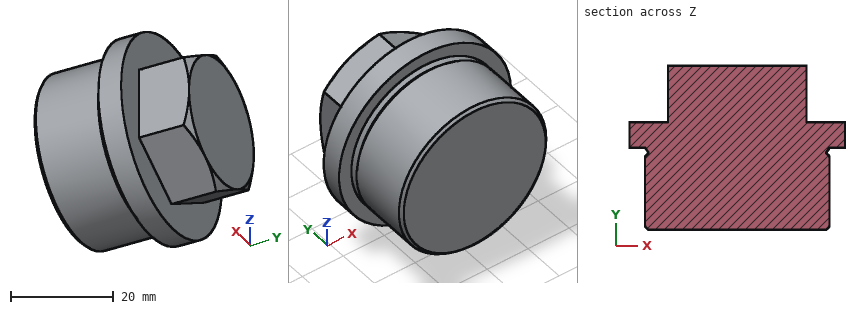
import cadquery as cq
import math

flange_diameter = 42.0
flange_thickness = 5.0
shank_diameter = 36.0
shank_length = 16.0
end_chamfer = 0.67
groove_depth = 0.67
groove_flange_side_width = 1.0
hex_across_flats = 27.0
hex_height = 11.0
hex_chamfer_angle = 30.0

flange_radius = flange_diameter / 2
shank_radius = shank_diameter / 2
flange_end = shank_length + flange_thickness
head_end = flange_end + hex_height
groove_bottom = shank_length - groove_flange_side_width
groove_start = groove_bottom - groove_depth
hex_across_corners = hex_across_flats / math.cos(math.radians(30))


def make_body():
    """Flange and shank, with the end chamfer and V groove, turned about Y."""
    return (
        cq.Workplane("XY")
        .moveTo(0, 0)
        .lineTo(shank_radius - end_chamfer, 0)
        .lineTo(shank_radius, end_chamfer)
        .lineTo(shank_radius, groove_start)
        .lineTo(shank_radius - groove_depth, groove_bottom)
        .lineTo(shank_radius, shank_length)
        .lineTo(flange_radius, shank_length)
        .lineTo(flange_radius, flange_end)
        .lineTo(0, flange_end)
        .close()
        .revolve(360, (0, 0, 0), (0, 1, 0))
    )


def make_head():
    """Hexagon with corners on the Z axis, its end corners cut by a cone."""
    prism = (
        cq.Workplane("XZ", origin=(0, head_end, 0))
        .transformed(rotate=(0, 0, 90))
        .polygon(6, hex_across_corners)
        .extrude(hex_height)
    )
    cone_top_radius = hex_across_flats / 2
    cone_drop = (flange_radius - cone_top_radius) * math.tan(math.radians(hex_chamfer_angle))
    envelope = (
        cq.Workplane("XY")
        .moveTo(0, flange_end)
        .lineTo(flange_radius, flange_end)
        .lineTo(flange_radius, head_end - cone_drop)
        .lineTo(cone_top_radius, head_end)
        .lineTo(0, head_end)
        .close()
        .revolve(360, (0, 0, 0), (0, 1, 0))
    )
    return prism.intersect(envelope)


result = make_body().union(make_head())